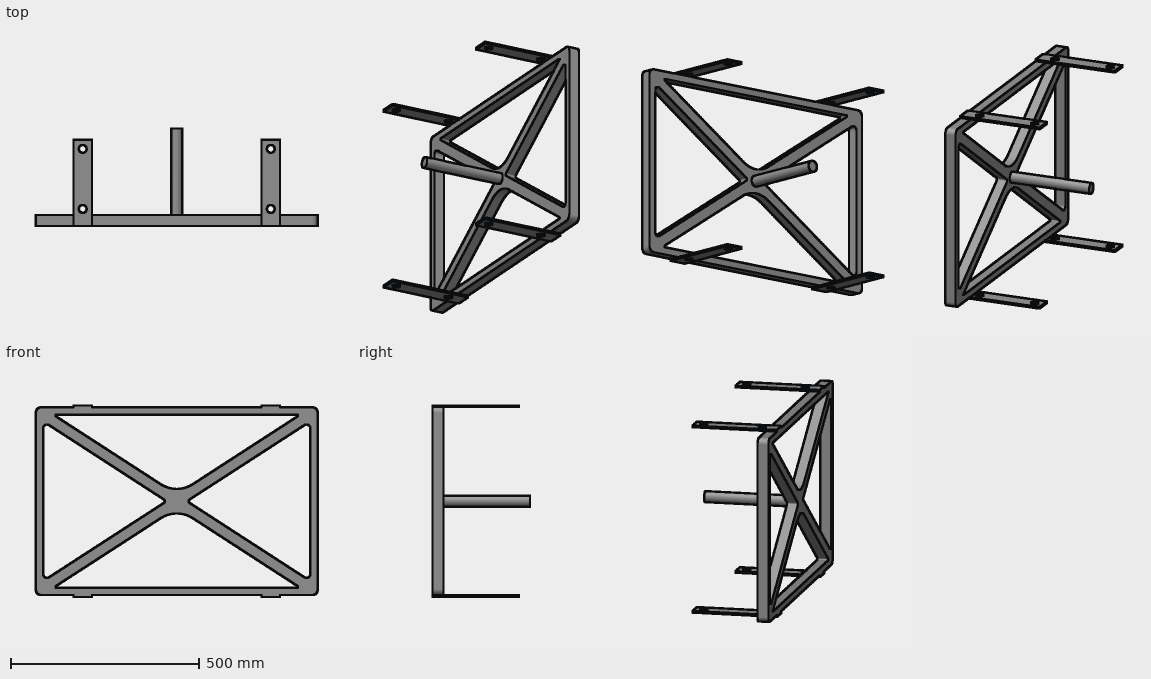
import cadquery as cq
import math

frame_length = 750.0
frame_height = 1500 / 3
frame_depth = 30.0
frame_corner_radius = 15.0
border_width = 20.0

brace_width = 30.0
hub_radius = 79.0
wide_tip_radius = 2.0
side_hub_radius = 4.5
side_corner_radius = 10.0

overall_height = 510.0
strap_thickness = (overall_height - frame_height) / 2
strap_width = 50.0
strap_length = 230.0
strap_spacing = frame_length * 2 / 3
hole_diameter = 20.0
hole_end_distance = 25.0
hole_pitch = 160.0

overall_depth = 260.0
rod_diameter = 30.0

opening_half_length = frame_length / 2 - border_width
opening_half_height = frame_height / 2 - border_width
brace_angle = math.atan2(opening_half_height, opening_half_length)
brace_slope = math.tan(brace_angle)
brace_half_rise = brace_width / 2 / math.cos(brace_angle)


def triangular_window(corners, hub_corner_radius, outer_corner_radius):
    """Cutter for one window; the first corner is the one at the hub."""
    prism = cq.Workplane("XZ").polyline(corners).close().extrude(-frame_depth)
    radii = [hub_corner_radius, outer_corner_radius, outer_corner_radius]
    for (corner_x, corner_z), radius in zip(corners, radii):
        edge_middle = (corner_x, frame_depth / 2, corner_z)
        corner_edge = cq.selectors.NearestToPointSelector(edge_middle)
        prism = prism.edges(corner_edge).fillet(radius)
    return prism


def make_frame():
    frame = cq.Workplane("XZ").rect(frame_length, frame_height).extrude(-frame_depth)
    frame = frame.edges("|Y").fillet(frame_corner_radius)
    wide_half_base = (opening_half_height - brace_half_rise) / brace_slope
    side_half_base = opening_half_length * brace_slope - brace_half_rise
    for side in (-1, 1):
        wide_corners = [
            (0, side * brace_half_rise),
            (-wide_half_base, side * opening_half_height),
            (wide_half_base, side * opening_half_height),
        ]
        side_corners = [
            (side * brace_half_rise / brace_slope, 0),
            (side * opening_half_length, -side_half_base),
            (side * opening_half_length, side_half_base),
        ]
        frame = frame.cut(triangular_window(wide_corners, hub_radius, wide_tip_radius))
        frame = frame.cut(triangular_window(side_corners, side_hub_radius, side_corner_radius))
    return frame


def make_strap(x_center, z_bottom):
    strap = cq.Workplane("XY").box(
        strap_width, strap_length, strap_thickness, centered=(True, False, False)
    )
    back_hole_y = strap_length - hole_end_distance
    hole_points = [(0, back_hole_y), (0, back_hole_y - hole_pitch)]
    holes = cq.Workplane("XY").pushPoints(hole_points).circle(hole_diameter / 2).extrude(strap_thickness)
    return strap.cut(holes).translate((x_center, 0, z_bottom))


def make_rod():
    rod_length = overall_depth - frame_depth
    rod = cq.Workplane("XZ", origin=(0, frame_depth, 0))
    return rod.circle(rod_diameter / 2).extrude(-rod_length)


result = make_frame().union(make_rod())
for strap_x in (-strap_spacing / 2, strap_spacing / 2):
    for strap_z in (frame_height / 2, -overall_height / 2):
        result = result.union(make_strap(strap_x, strap_z))